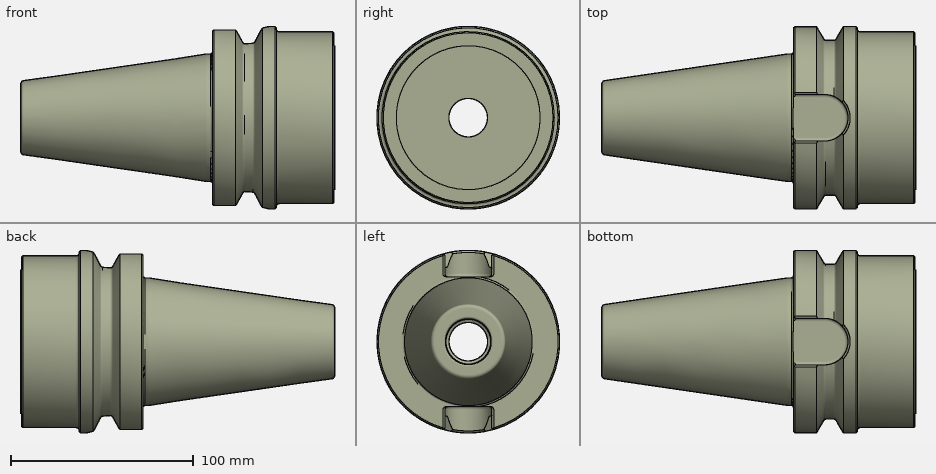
import cadquery as cq
import math

total_length = 171.8
flange_radius = 50.0
body_radius = 47.0
gauge_diameter = 70.0
gauge_radius = gauge_diameter / 2

gauge_x = 101.7
taper_slope = 7 / 48
nose_radius = gauge_radius - gauge_x * taper_slope
nose_fillet = 2.0
neck_fillet = 1.0

flange_start = 104.8
flange_end = 139.8
flange_chamfer = 0.9
groove_radius = 42.5
groove_start = 117.5
groove_end = 132.1
groove_half_angle = math.radians(30)
groove_fillet = 1.0
groove_wall_run = (flange_radius - groove_radius) * math.tan(groove_half_angle)

body_fillet = 1.5
body_chamfer = 0.7
end_pad_radius = 39.3
end_pad_height = 0.5
body_end = total_length - end_pad_height

bore_radius = 10.5
counterbore_radius = 12.5
counterbore_depth = 10.3
bore_mouth_fillet = 1.2
pilot_radius = 12.2
pilot_length = 1.2
bore_cone_half_angle = math.radians(60)
bore_cone_length = (pilot_radius - bore_radius) / math.tan(bore_cone_half_angle)

slot_half_width = 12.7
slot_floor = 35.4
slot_center_x = 122
slot_floor_fillet = 1.7
slot_chamfer = 1.2
slot_overrun = 8.6

pick_margin = 0.09


def revolve_profile(points):
    """Turn an (X, radius) outline about the X axis."""
    outline = cq.Workplane("XY").polyline(points).close()
    return outline.revolve(360, (0, 0, 0), (1, 0, 0))


def fillet_ring(body, x, radius, size):
    """Round the circular edge about the X axis at the given X and radius."""
    box = cq.selectors.BoxSelector(
        (x - pick_margin, -radius - pick_margin, -radius - pick_margin),
        (x + pick_margin, radius + pick_margin, radius + pick_margin),
        boundingbox=True,
    )
    ring = body.edges(box).edges(cq.selectors.RadiusNthSelector(-1))
    return body.newObject(ring.vals()).fillet(size)


def make_turned_body():
    body = revolve_profile([
        (0, 0),
        (0, nose_radius),
        (gauge_x, gauge_radius),
        (flange_start, gauge_radius),
        (flange_start, flange_radius - flange_chamfer),
        (flange_start + flange_chamfer, flange_radius),
        (groove_start, flange_radius),
        (groove_start + groove_wall_run, groove_radius),
        (groove_end - groove_wall_run, groove_radius),
        (groove_end, flange_radius),
        (flange_end - flange_chamfer, flange_radius),
        (flange_end, flange_radius - flange_chamfer),
        (flange_end, body_radius),
        (body_end - body_chamfer, body_radius),
        (body_end, body_radius - body_chamfer),
        (body_end, end_pad_radius),
        (total_length, end_pad_radius),
        (total_length, 0),
    ])
    body = fillet_ring(body, 0, nose_radius, nose_fillet)
    body = fillet_ring(body, flange_start, gauge_radius, neck_fillet)
    body = fillet_ring(body, groove_start + groove_wall_run, groove_radius, groove_fillet)
    body = fillet_ring(body, groove_end - groove_wall_run, groove_radius, groove_fillet)
    return fillet_ring(body, flange_end, body_radius, body_fillet)


def make_bore():
    pilot_end = counterbore_depth + pilot_length
    return revolve_profile([
        (0, 0),
        (0, counterbore_radius),
        (counterbore_depth, counterbore_radius),
        (counterbore_depth, pilot_radius),
        (pilot_end, pilot_radius),
        (pilot_end + bore_cone_length, bore_radius),
        (total_length, bore_radius),
        (total_length, 0),
    ])


def make_slot():
    """Slot on the +Z side, round at one end and flared where it opens on the flange face."""
    mouth_x = flange_start - slot_overrun
    flare_end_x = flange_start + slot_chamfer
    mouth_half_width = slot_half_width + slot_chamfer
    slot = (
        cq.Workplane("XY", origin=(0, 0, slot_floor))
        .moveTo(mouth_x, -mouth_half_width)
        .lineTo(flange_start, -mouth_half_width)
        .lineTo(flare_end_x, -slot_half_width)
        .lineTo(slot_center_x, -slot_half_width)
        .radiusArc((slot_center_x, slot_half_width), -slot_half_width)
        .lineTo(flare_end_x, slot_half_width)
        .lineTo(flange_start, mouth_half_width)
        .lineTo(mouth_x, mouth_half_width)
        .close()
        .extrude(flange_radius - slot_floor + slot_overrun)
    )
    return slot.edges("<Z").edges("not <X").fillet(slot_floor_fillet)


def chamfer_slot_rim(body, side):
    """Break the slot edges on the flange rim; side is +1 for the +Z slot and -1 for the -Z slot."""
    lowest_rim = math.sqrt(flange_radius**2 - slot_half_width**2)
    first_rim_x = flange_start + slot_chamfer
    rim_half_width = slot_half_width + pick_margin
    rim_box = cq.selectors.BoxSelector(
        (first_rim_x - pick_margin, -rim_half_width, side * (lowest_rim - pick_margin)),
        (flange_end, rim_half_width, side * (flange_radius + pick_margin)),
        boundingbox=True,
    )
    return body.edges(rim_box).chamfer(slot_chamfer)


result = make_turned_body().cut(make_bore())
result = fillet_ring(result, 0, counterbore_radius, bore_mouth_fillet)
slot = make_slot()
for side, turn in ((1, 0), (-1, 180)):
    result = result.cut(slot.rotate((0, 0, 0), (1, 0, 0), turn))
    result = chamfer_slot_rim(result, side)